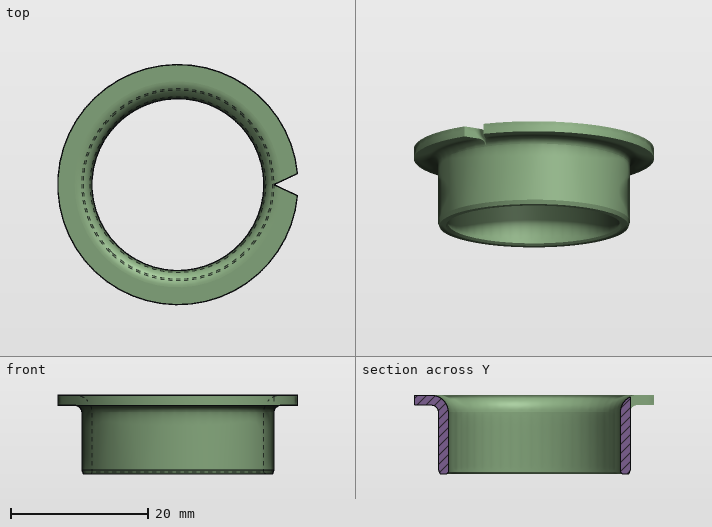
import cadquery as cq
import math

bore_radius = 12.5
wall = 1.5
height = 11.5
flange_radius = 17.5
mouth_radius = 2.5
lead_in_height = 0.6
lead_in_angle = 20.0
bore_chamfer = 0.3
notch_angle = 50.0

sleeve_radius = bore_radius + wall
lead_in_depth = lead_in_height * math.tan(math.radians(lead_in_angle))
bend_radius = mouth_radius - wall
bend_center_r = bore_radius + mouth_radius
bend_center_z = height - mouth_radius


def bend_point(radius):
    """Middle of a quarter-circle bend, as (r, z)."""
    offset = radius * math.sqrt(0.5)
    return bend_center_r - offset, bend_center_z + offset


def make_bush():
    """Revolve the wall section round Z."""
    section = (
        cq.Workplane("XZ")
        .moveTo(bore_radius, bore_chamfer)
        .lineTo(bore_radius + bore_chamfer, 0)
        .lineTo(sleeve_radius - lead_in_depth, 0)
        .lineTo(sleeve_radius, lead_in_height)
        .lineTo(sleeve_radius, bend_center_z)
        .threePointArc(bend_point(bend_radius), (bend_center_r, height - wall))
        .lineTo(flange_radius, height - wall)
        .lineTo(flange_radius, height)
        .lineTo(bend_center_r, height)
        .threePointArc(bend_point(mouth_radius), (bore_radius, bend_center_z))
        .close()
    )
    return section.revolve(360, (0, 0, 0), (0, 1, 0))


def make_notch():
    """V wedge on the +X side, its tip at the outer face of the sleeve."""
    outer_x = flange_radius + wall
    half_width = (outer_x - sleeve_radius) * math.tan(math.radians(notch_angle / 2))
    return (
        cq.Workplane("XY", origin=(0, 0, bend_center_z))
        .moveTo(sleeve_radius, 0)
        .lineTo(outer_x, half_width)
        .lineTo(outer_x, -half_width)
        .close()
        .extrude(mouth_radius)
    )


result = make_bush().cut(make_notch())